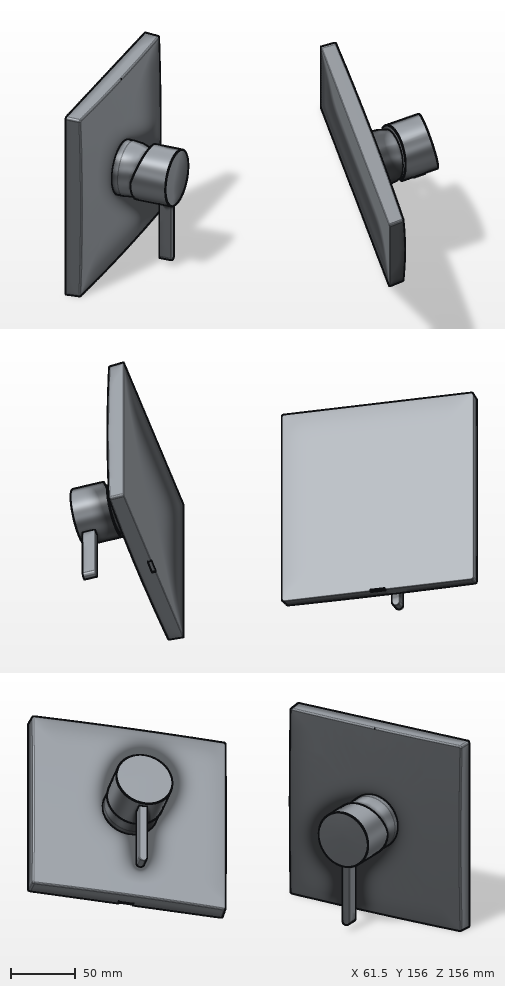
import cadquery as cq
import math

plate_side = 156.0
plate_apex_x = 15.0
plate_dome_radius = 2183.7
plate_draft = 2.5
plate_corner_radius = 1.9
plate_face_fillet = 1.2
plate_back_fillet = 0.5

notch_width = 11.7
notch_height = 1.1
notch_depth = 3.1

pivot_radius = 22.0
pivot_start_x = 12.5
pivot_shoulder_x = 19.7
pivot_bulge_radius = 33.8
pivot_end_x = 40.5

knob_radius = 22.6
knob_back_x = 30.5
knob_top_back_x = 37.9
knob_rim_x = 60.7
knob_end_x = 61.5
knob_edge_chamfer = 0.5

lever_center_x = 51.8
lever_width = 10.3
lever_thickness = 6.5
lever_tip_z = -72.7
lever_edge_fillet = 0.5


def domed_cylinder(radius, rim_x, apex_x):
    """Cylinder along +X from X = 0 whose far end bulges from rim_x to apex_x on the axis."""
    rise = apex_x - rim_x
    dome_radius = (radius**2 + rise**2) / (2 * rise)
    middle_r = radius / 2
    middle_x = apex_x - dome_radius + math.sqrt(dome_radius**2 - middle_r**2)
    return (
        cq.Workplane("XZ")
        .lineTo(0, radius)
        .lineTo(rim_x, radius)
        .threePointArc((middle_x, middle_r), (apex_x, 0))
        .close()
        .revolve(360, (0, 0, 0), (1, 0, 0))
    )


def make_pivot():
    bulge_center_r = pivot_radius - pivot_bulge_radius

    def bulge_r(x):
        return bulge_center_r + math.sqrt(pivot_bulge_radius**2 - (x - pivot_shoulder_x) ** 2)

    middle_x = (pivot_shoulder_x + pivot_end_x) / 2
    return (
        cq.Workplane("XZ")
        .moveTo(pivot_start_x, 0)
        .lineTo(pivot_start_x, pivot_radius)
        .lineTo(pivot_shoulder_x, pivot_radius)
        .threePointArc((middle_x, bulge_r(middle_x)), (pivot_end_x, bulge_r(pivot_end_x)))
        .lineTo(pivot_end_x, 0)
        .close()
        .revolve(360, (0, 0, 0), (1, 0, 0))
    )


def make_plate(pivot):
    lean = math.radians(plate_draft)
    fillet_trim = plate_back_fillet * (math.tan(lean) + 1 / math.cos(lean) - 1)
    slab_side = plate_side + 2 * fillet_trim
    slab = (
        cq.Workplane("YZ")
        .rect(slab_side, slab_side)
        .extrude(2 * plate_apex_x, taper=plate_draft)
        .edges("not(|Y or |Z)")
        .fillet(plate_corner_radius)
    )
    dome_r = plate_side
    dome_rim_x = plate_apex_x - plate_dome_radius + math.sqrt(plate_dome_radius**2 - dome_r**2)
    plate = slab.intersect(domed_cylinder(dome_r, dome_rim_x, plate_apex_x))
    plate = plate.faces(">X").edges("<Y").fillet(plate_face_fillet)
    plate = plate.faces("<X").edges().fillet(plate_back_fillet)
    notch = cq.Workplane("XY").box(notch_depth, notch_width, notch_height, centered=(False, True, False))
    return plate.cut(notch.translate((0, 0, -plate_side / 2))).cut(pivot)


def make_knob(pivot):
    far_x = 2 * knob_end_x
    far_z = 2 * knob_radius
    lean_run = (knob_top_back_x - knob_back_x) * far_z / knob_radius
    side_outline = (
        cq.Workplane("XZ")
        .moveTo(knob_back_x, -far_z)
        .lineTo(knob_back_x, 0)
        .lineTo(knob_back_x + lean_run, far_z)
        .lineTo(far_x, far_z)
        .lineTo(far_x, -far_z)
        .close()
        .extrude(2 * knob_radius, both=True)
    )
    blank = domed_cylinder(knob_radius, knob_rim_x, knob_end_x)
    blank = blank.faces(">X").edges("<X").chamfer(knob_edge_chamfer)
    knob = blank.intersect(side_outline)
    knob = knob.faces("%PLANE").edges("not(|Y)").chamfer(knob_edge_chamfer)
    return knob.cut(pivot)


def make_lever():
    tip_radius = lever_thickness / 2
    tip_center_z = lever_tip_z + tip_radius
    lever = (
        cq.Workplane("YZ", origin=(lever_center_x - lever_width / 2, 0, 0))
        .moveTo(-tip_radius, 0)
        .lineTo(-tip_radius, tip_center_z)
        .threePointArc((0, lever_tip_z), (tip_radius, tip_center_z))
        .lineTo(tip_radius, 0)
        .close()
        .extrude(lever_width)
        .faces("<X or >X")
        .edges("not(>Z)")
        .fillet(lever_edge_fillet)
    )
    return lever.cut(cq.Workplane("YZ").circle(knob_radius).extrude(knob_end_x))


pivot = make_pivot()
plate = make_plate(pivot)
knob = make_knob(pivot)
lever = make_lever()

bodies = [plate, pivot, knob, lever]
result = cq.Compound.makeCompound([body.solids().val() for body in bodies])